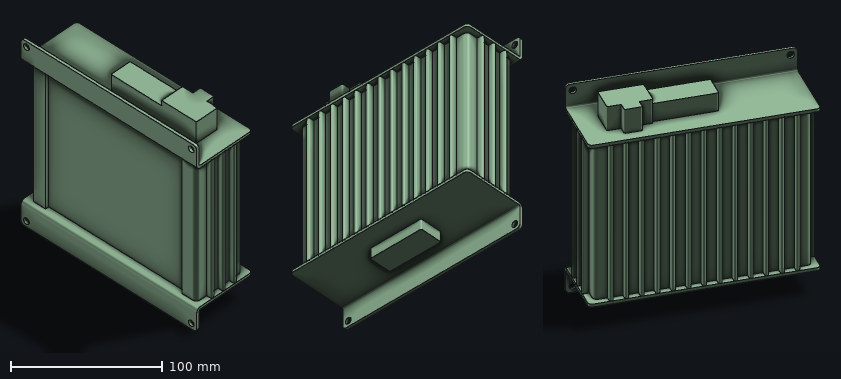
import cadquery as cq


width = 161.2
depth = 53.4
sheet = 2.4
bend_inner_radius = 1.37
bracket_corner_radius = 3.0
flange_end_z = 80.3
hole_diameter = 5.0
hole_edge_distance = 5.0

housing_length = 120.0
housing_front_y = 4.8
fin_height = 4.8
fin_thickness = 2.7
fin_pitch = 10.8
side_fin_count = 3
back_fin_count = 13
housing_corner_radius = 3.4
front_recess_width = 125.5
front_recess_depth = 3.0

connector_front_y = 17.9
connector_corner_radius = 1.1
low_connector_left_x = -15.2
low_connector_back_y = 36.1
low_connector_height = 13.9
tall_connector_left_x = 31.3
tall_connector_right_x = 63.2
tall_connector_back_y = 38.2
tall_connector_height = 18.4
latch_left_x = 40.6
latch_right_x = 53.4
latch_back_y = 45.1
bottom_connector_width = 46.5
bottom_connector_back_y = 36.9
bottom_connector_height = 8.7

half_length = housing_length / 2
plate_outer_z = half_length + sheet
housing_width = width - 2 * fin_height
housing_back_y = depth - fin_height
housing_depth = housing_back_y - housing_front_y
housing_mid_y = (housing_front_y + housing_back_y) / 2


def block(x_range, y_range, z_range):
    """Box spanning the given (low, high) ranges."""
    size = [high - low for low, high in (x_range, y_range, z_range)]
    return cq.Workplane("XY").box(*size, centered=False).translate((x_range[0], y_range[0], z_range[0]))


def make_top_bracket():
    """L-shaped sheet: a plate closing the housing end and a flange turned outward."""
    bend_outer_radius = bend_inner_radius + sheet
    bracket = (
        cq.Workplane("YZ")
        .moveTo(depth, half_length)
        .lineTo(bend_outer_radius, half_length)
        .radiusArc((0, half_length + bend_outer_radius), bend_outer_radius)
        .lineTo(0, flange_end_z)
        .lineTo(sheet, flange_end_z)
        .lineTo(sheet, plate_outer_z + bend_inner_radius)
        .radiusArc((bend_outer_radius, plate_outer_z), -bend_inner_radius)
        .lineTo(depth, plate_outer_z)
        .close()
        .extrude(width / 2, both=True)
    )
    bracket = bracket.edges("|Z and >Y").fillet(bracket_corner_radius)
    bracket = bracket.edges("|Y and >Z").fillet(bracket_corner_radius)

    hole_x = width / 2 - hole_edge_distance
    hole_z = flange_end_z - hole_edge_distance
    holes = (
        cq.Workplane("XZ")
        .pushPoints([(-hole_x, hole_z), (hole_x, hole_z)])
        .circle(hole_diameter / 2)
        .extrude(-sheet)
    )
    return bracket.cut(holes)


def fin_offsets(count):
    """Evenly pitched fin positions, centred on zero."""
    return [(index - (count - 1) / 2) * fin_pitch for index in range(count)]


def make_housing():
    """Extruded profile with a recessed front and round-tipped fins on its sides and back."""
    housing = (
        cq.Workplane("XY")
        .center(0, housing_mid_y)
        .rect(housing_width, housing_depth)
        .extrude(half_length, both=True)
        .edges("|Z")
        .fillet(housing_corner_radius)
    )

    for offset in fin_offsets(side_fin_count):
        side_fins = (
            cq.Workplane("XY")
            .center(0, housing_mid_y + offset)
            .slot2D(width, fin_thickness)
            .extrude(half_length, both=True)
        )
        housing = housing.union(side_fins)

    back_fin_length = depth - housing_mid_y
    for offset in fin_offsets(back_fin_count):
        back_fin = (
            cq.Workplane("XY")
            .center(offset, housing_mid_y + back_fin_length / 2)
            .slot2D(back_fin_length, fin_thickness, 90)
            .extrude(half_length, both=True)
        )
        housing = housing.union(back_fin)

    recess = block(
        (-front_recess_width / 2, front_recess_width / 2),
        (housing_front_y, housing_front_y + front_recess_depth),
        (-half_length, half_length),
    )
    return housing.cut(recess)


def make_top_connectors():
    """Low connector butted against a tall one that has a latch on its back."""
    low_z = (plate_outer_z, plate_outer_z + low_connector_height)
    tall_z = (plate_outer_z, plate_outer_z + tall_connector_height)
    low = block(
        (low_connector_left_x, tall_connector_left_x), (connector_front_y, low_connector_back_y), low_z
    )
    tall = block(
        (tall_connector_left_x, tall_connector_right_x), (connector_front_y, tall_connector_back_y), tall_z
    )
    latch = block((latch_left_x, latch_right_x), (connector_front_y, latch_back_y), tall_z)

    low = low.edges("|Z and <X").fillet(connector_corner_radius)
    tall = tall.edges("|Z and (>X or >Y)").fillet(connector_corner_radius)
    latch = latch.edges("|Z and >Y").fillet(connector_corner_radius)
    return low.union(tall).union(latch)


def make_bottom_connector():
    """Plain connector under the lower bracket, centred across the width."""
    connector = block(
        (-bottom_connector_width / 2, bottom_connector_width / 2),
        (connector_front_y, bottom_connector_back_y),
        (-plate_outer_z - bottom_connector_height, -plate_outer_z),
    )
    return connector.edges("|Z").fillet(connector_corner_radius)


top_bracket = make_top_bracket()
bottom_bracket = top_bracket.mirror("XY")

result = (
    make_housing()
    .union(top_bracket)
    .union(bottom_bracket)
    .union(make_top_connectors())
    .union(make_bottom_connector())
)